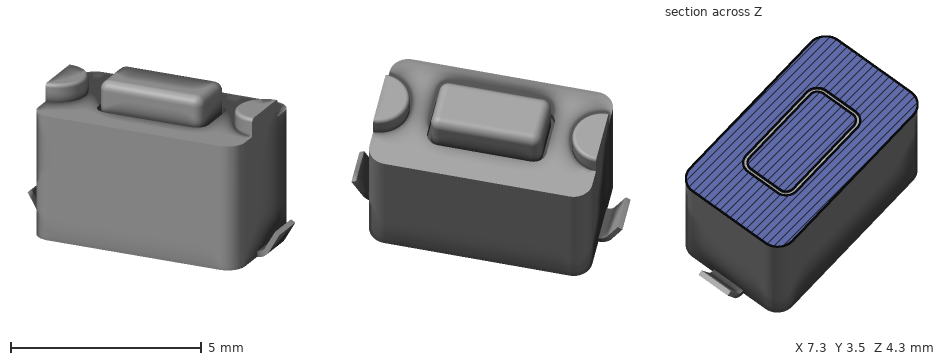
import cadquery as cq
import math

overall_length = 7.3
body_length = 6.0
body_width = 3.5
body_height = 3.505
body_corner_radius = 0.505
cover_thickness = 0.2

button_length = 3.0
button_width = 1.5
button_top = 4.3
button_radius = 0.25
button_gap = 0.1

post_radius = 0.795
post_height = 0.505
post_edge_radius = 0.1

lead_width = 1.0
lead_thickness = 0.145
lead_outer_radius = 0.4
lead_top = 0.795
lead_angle = math.radians(60)

body_end = body_length / 2
recess_floor = body_height - cover_thickness


def make_body():
    body = (
        cq.Workplane("XY")
        .box(body_length, body_width, body_height, centered=(True, True, False))
        .edges("|Z")
        .fillet(body_corner_radius)
    )
    recess = (
        cq.Workplane("XY")
        .workplane(offset=recess_floor)
        .rect(button_length + 2 * button_gap, button_width + 2 * button_gap)
        .extrude(cover_thickness)
        .edges("|Z")
        .fillet(button_radius + button_gap)
    )
    return body.cut(recess)


def make_button():
    return (
        cq.Workplane("XY")
        .workplane(offset=recess_floor)
        .rect(button_length, button_width)
        .extrude(button_top - recess_floor)
        .edges("|Z or >Z")
        .fillet(button_radius)
    )


def make_posts():
    """Round posts centred on the end faces, trimmed flush with them."""
    posts = (
        cq.Workplane("XY")
        .workplane(offset=body_height)
        .pushPoints([(-body_end, 0), (body_end, 0)])
        .circle(post_radius)
        .extrude(post_height)
        .faces(">Z")
        .edges()
        .fillet(post_edge_radius)
    )
    trim = cq.Workplane("XY").box(body_length, body_width, 2 * (body_height + post_height))
    return posts.intersect(trim)


def make_lead():
    """Terminal at the +X end: foot set into the housing, bend, then a straight rising leg."""
    sin_a, cos_a = math.sin(lead_angle), math.cos(lead_angle)
    tip_x = overall_length / 2
    tip_z = lead_top - lead_thickness * cos_a
    bend_end_z = lead_outer_radius * (1 - cos_a)
    bend_end_x = tip_x - (tip_z - bend_end_z) / math.tan(lead_angle)
    bend_x = bend_end_x - lead_outer_radius * sin_a
    inner_radius = lead_outer_radius - lead_thickness

    def on_bend(radius, angle):
        return (bend_x + radius * math.sin(angle), lead_outer_radius - radius * math.cos(angle))

    return (
        cq.Workplane("XZ")
        .moveTo(body_end - lead_thickness, 0)
        .lineTo(bend_x, 0)
        .threePointArc(on_bend(lead_outer_radius, lead_angle / 2), on_bend(lead_outer_radius, lead_angle))
        .lineTo(tip_x, tip_z)
        .lineTo(tip_x - lead_thickness * sin_a, lead_top)
        .lineTo(*on_bend(inner_radius, lead_angle))
        .threePointArc(on_bend(inner_radius, lead_angle / 2), on_bend(inner_radius, 0))
        .lineTo(body_end - lead_thickness, lead_thickness)
        .close()
        .extrude(lead_width / 2, both=True)
    )


lead = make_lead()
result = make_body().union(make_button()).union(make_posts()).union(lead).union(lead.mirror("YZ"))